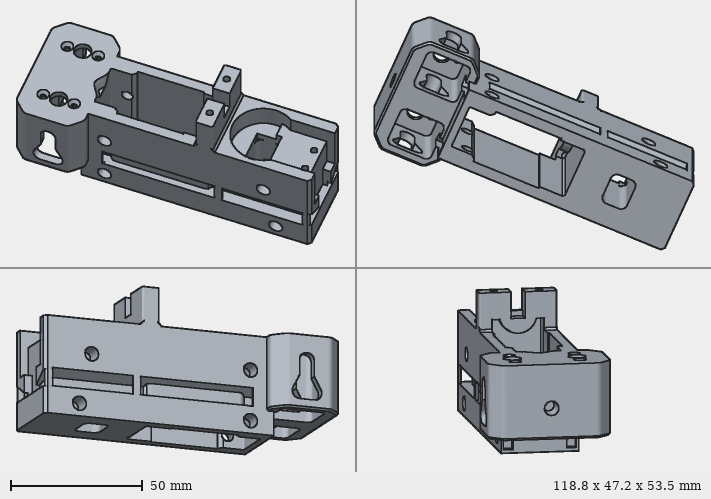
import cadquery as cq
import math

LENGTH = 118.75
BODY_START = 25.1
BODY_WIDTH = 30.0
BODY_TOP = 38.5
BODY_HALF = BODY_WIDTH / 2
BODY_END_CHAMFER = 1.25

HEAD_LENGTH = 28.0
HEAD_WIDTH = 47.2
HEAD_HEIGHT = 29.0
HEAD_BOTTOM = BODY_TOP - HEAD_HEIGHT
HEAD_CORNER = 5.0
HEAD_CORNER_RADIUS = 3.0
HEAD_BOTTOM_CHAMFER = 0.8

HEAD_HOLE_X = 14.95
HEAD_HOLE_Y = 12.5
WIRE_HOLE_DIA = 6.75
SCREW_SPACING = 12.6
SCREW_DIA = 2.2
SCREW_HEAD_DIA = 4.6
SCREW_HEAD_DEPTH = 1.5

POCKET_LENGTH = 18.0
POCKET_WIDTH = 15.6
POCKET_TOP = 36.0
POCKET_RADIUS = 2.2
POCKET_END = HEAD_HOLE_X + POCKET_LENGTH / 2

KEYHOLE_TOP = 31.5
KEYHOLE_BOTTOM = 13.2
KEYHOLE_RADIUS = 3.0
KEYHOLE_HALF_WIDTH = 6.0
KEYHOLE_NECK_BOTTOM = 22.4

INSERT_MOUTH_DIA = 5.5
INSERT_TIP_DIA = 4.4
INSERT_DEPTH = 7.0
HEAD_INSERT_Z = 21.5
SIDE_INSERTS = [
    (34.6, 24.9),
    (34.6, 5.0),
    (99.5, 24.9),
    (104.5, 5.0),
]

CAVITY_END = 75.4
CAVITY_NARROW_HALF = 8.65
CAVITY_NARROW_END = 36.5
CAVITY_WIDE_HALF = 10.85
CAVITY_WIDE_START = 38.1
CAVITY_WIDE_STEP = 0.75
CAVITY_WIDE_END = 65.2
CAVITY_REAR_HALF = 10.15
CAVITY_END_CHAMFER = 0.75
CAVITY_CORNER_RADIUS = 0.5

SCOOP_HALF_WIDTH = 6.5
SCOOP_REACH = 3.3
SCOOP_SHOULDER = (1.4, 3.7)
SCOOP_DEPTH = 4.0
SCOOP_FLOOR_SCALE = 0.45

TOWER_START = 71.8
TOWER_END = 78.8
TOWER_TOP = 53.5
TOWER_EDGE_RADIUS = 0.8
FLARE_RUN = 0.9
SADDLE_WIDTH = 5.4
SADDLE_FRONT_Z = 43.3
SADDLE_REAR_Z = 45.4
SADDLE_STEP_X = 76.9
TOWER_HOLE_X = 75.2
TOWER_HOLE_Y = 8.8
TOWER_HOLE_DIA = 2.6
TOWER_HOLE_DEPTH = 10.0
RECESS_TOP = 43.1
TONGUE_RADIUS = 7.25
TONGUE_CENTER_Z = 44.8

BAY_X = 93.6
BAY_RADIUS = 12.6
BAY_HALF = 10.45
BAY_FLOOR = 32.0
BAY_WELL_FLOOR = 29.5
BAY_WELL_END = 96.5
BAY_WINDOW_START = 88.65
BAY_WINDOW_END = 98.7
BAY_WINDOW_HALF = 6.25
BAY_WINDOW_BOTTOM = 26.5
BAY_WINDOW_RADIUS = 2.5
BAY_HOLE_X = 112.5
BAY_HOLE_Y = 4.65
BAY_HOLE_DIA = 2.5
BAY_HOLE_DEPTH = 8.0
END_NOTCH_START = 115.4
END_NOTCH_HALF = 6.25
END_SHELF_Z = 20.0

CHANNEL_INNER = 10.4
CHANNEL_OUTER = 14.1
CHANNEL_FLOOR = 10.8
CHANNEL_TOP = 18.0
ROOF_SLOPE = math.tan(math.radians(30))
WINDOW_SPANS = [(33.5, 79.5), (82.5, 115.5)]
BULGE_Y = 12.2
BULGE_START = 35.4
BULGE_FLAT_START = 38.3
BULGE_FLAT_END = 74.0
BULGE_END = 76.6
BULGE_STEP = 0.85
BULGE_SHOULDER_Y = 11.4
BULGE_REAR_SHOULDER_Y = 11.9
MOUTH_RADIUS = 6.45
MOUTH_BOTTOM = 1.4
EXIT_START = 112.6
EXIT_RADIUS = 4.7

CLEAR = 1.0


def box(x0, x1, y0, y1, z0, z1):
    """Box between the given limits."""
    return cq.Workplane("XY").box(x1 - x0, y1 - y0, z1 - z0, centered=False).translate((x0, y0, z0))


def both_sides(shape):
    """The shape together with its mirror image across the XZ plane."""
    return shape.union(shape.mirror("XZ"))


def cylinder_z(x, y, z0, z1, diameter):
    """Upright cylinder between two heights."""
    return cq.Workplane("XY", origin=(x, y, z0)).circle(diameter / 2).extrude(z1 - z0)


def insert_hole(point, direction):
    """Tapered blind hole entering the part at point."""
    solid = cq.Solid.makeCone(
        INSERT_MOUTH_DIA / 2, INSERT_TIP_DIA / 2, INSERT_DEPTH, cq.Vector(*point), cq.Vector(*direction)
    )
    return cq.Workplane(solid)


def make_body():
    body = box(BODY_START, LENGTH, -BODY_HALF, BODY_HALF, 0, BODY_TOP)
    return body.edges("|Z and >X").chamfer(BODY_END_CHAMFER)


def make_head():
    head = box(0, HEAD_LENGTH, -HEAD_WIDTH / 2, HEAD_WIDTH / 2, HEAD_BOTTOM, BODY_TOP)
    head = head.edges("|Z").chamfer(HEAD_CORNER)
    head = head.edges("|Z").fillet(HEAD_CORNER_RADIUS)
    return head.faces("<Z").chamfer(HEAD_BOTTOM_CHAMFER)


def make_tower():
    tower = box(TOWER_START, TOWER_END, -BODY_HALF, BODY_HALF, BODY_TOP - CLEAR, TOWER_TOP)
    tower = tower.edges("|Z").fillet(TOWER_EDGE_RADIUS)
    flare_rise = FLARE_RUN + TOWER_EDGE_RADIUS
    flare = (
        cq.Workplane("XZ", origin=(0, BODY_HALF, 0))
        .moveTo(TOWER_START - FLARE_RUN, BODY_TOP)
        .lineTo(TOWER_START + TOWER_EDGE_RADIUS, BODY_TOP + flare_rise)
        .lineTo(TOWER_END - TOWER_EDGE_RADIUS, BODY_TOP + flare_rise)
        .lineTo(TOWER_END + FLARE_RUN, BODY_TOP)
        .close()
        .extrude(BODY_WIDTH)
    )
    return tower.union(flare)


def tower_cuts():
    """Stepped saddle between the two posts and a screw hole down each post."""
    half = SADDLE_WIDTH / 2
    cuts = box(TOWER_START - CLEAR, SADDLE_STEP_X, -half, half, SADDLE_FRONT_Z, TOWER_TOP + CLEAR)
    cuts = cuts.union(box(SADDLE_STEP_X, TOWER_END + CLEAR, -half, half, SADDLE_REAR_Z, TOWER_TOP + CLEAR))
    hole = cylinder_z(TOWER_HOLE_X, TOWER_HOLE_Y, TOWER_TOP - TOWER_HOLE_DEPTH, TOWER_TOP, TOWER_HOLE_DIA)
    return cuts.union(both_sides(hole))


def cavity_cut():
    """Open cavity that runs under the tower, where a round tongue hangs into it."""
    upper = [
        (HEAD_LENGTH, CAVITY_NARROW_HALF),
        (CAVITY_NARROW_END, CAVITY_NARROW_HALF),
        (CAVITY_WIDE_START, CAVITY_WIDE_HALF - CAVITY_WIDE_STEP),
        (CAVITY_WIDE_START, CAVITY_WIDE_HALF),
        (CAVITY_WIDE_END, CAVITY_WIDE_HALF),
        (CAVITY_WIDE_END, CAVITY_REAR_HALF),
        (CAVITY_END - CAVITY_END_CHAMFER, CAVITY_REAR_HALF),
        (CAVITY_END, CAVITY_REAR_HALF - CAVITY_END_CHAMFER),
    ]
    lower = [(x, -y) for x, y in reversed(upper)]
    cavity = cq.Workplane("XY").polyline(upper + lower).close().extrude(RECESS_TOP)
    cavity = cavity.edges("|Z and <X").fillet(CAVITY_CORNER_RADIUS)
    tongue = (
        cq.Workplane("YZ", origin=(TOWER_START, 0, 0))
        .center(0, TONGUE_CENTER_Z)
        .circle(TONGUE_RADIUS)
        .extrude(TOWER_END - TOWER_START)
    )
    return cavity.cut(tongue)


def scoop_cut():
    """Bell-shaped scoop that narrows downwards from the top edge of the head."""

    def outline(workplane, scale):
        shoulder_run, shoulder_half = SCOOP_SHOULDER
        points = [
            (HEAD_LENGTH - shoulder_run * scale, shoulder_half * scale),
            (HEAD_LENGTH - SCOOP_REACH * scale, 0),
            (HEAD_LENGTH - shoulder_run * scale, -shoulder_half * scale),
            (HEAD_LENGTH, -SCOOP_HALF_WIDTH * scale),
        ]
        start = workplane.moveTo(HEAD_LENGTH, SCOOP_HALF_WIDTH * scale)
        return start.spline(points, includeCurrent=True).close()

    top = outline(cq.Workplane("XY", origin=(0, 0, BODY_TOP)), 1.0)
    return outline(top.workplane(offset=-SCOOP_DEPTH), SCOOP_FLOOR_SCALE).loft(ruled=True)


def keyhole_cut():
    lobe_x = KEYHOLE_HALF_WIDTH - KEYHOLE_RADIUS
    lobe_z = KEYHOLE_BOTTOM + KEYHOLE_RADIUS
    tangent = math.acos(KEYHOLE_RADIUS / (KEYHOLE_NECK_BOTTOM - lobe_z))
    flank_x = lobe_x + KEYHOLE_RADIUS * math.sin(tangent)
    flank_z = lobe_z + KEYHOLE_RADIUS * math.cos(tangent)
    middle = (tangent + math.pi) / 2
    middle_x = lobe_x + KEYHOLE_RADIUS * math.sin(middle)
    middle_z = lobe_z + KEYHOLE_RADIUS * math.cos(middle)
    neck_top = KEYHOLE_TOP - KEYHOLE_RADIUS
    return (
        cq.Workplane("XZ", origin=(HEAD_HOLE_X, 0, 0))
        .moveTo(-lobe_x, KEYHOLE_BOTTOM)
        .lineTo(lobe_x, KEYHOLE_BOTTOM)
        .threePointArc((middle_x, middle_z), (flank_x, flank_z))
        .lineTo(KEYHOLE_RADIUS, KEYHOLE_NECK_BOTTOM)
        .lineTo(KEYHOLE_RADIUS, neck_top)
        .threePointArc((0, KEYHOLE_TOP), (-KEYHOLE_RADIUS, neck_top))
        .lineTo(-KEYHOLE_RADIUS, KEYHOLE_NECK_BOTTOM)
        .lineTo(-flank_x, flank_z)
        .threePointArc((-middle_x, middle_z), (-lobe_x, KEYHOLE_BOTTOM))
        .close()
        .extrude(HEAD_WIDTH / 2, both=True)
    )


def head_holes():
    """Wire holes, each flanked by two countersunk screw holes."""
    holes = cylinder_z(HEAD_HOLE_X, HEAD_HOLE_Y, 0, BODY_TOP, WIRE_HOLE_DIA)
    for side in (-1, 1):
        x = HEAD_HOLE_X + side * SCREW_SPACING / 2
        holes = holes.union(cylinder_z(x, HEAD_HOLE_Y, HEAD_BOTTOM, BODY_TOP, SCREW_DIA))
        countersink = cq.Solid.makeCone(
            SCREW_HEAD_DIA / 2,
            SCREW_DIA / 2,
            SCREW_HEAD_DEPTH,
            cq.Vector(x, HEAD_HOLE_Y, BODY_TOP),
            cq.Vector(0, 0, -1),
        )
        holes = holes.union(cq.Workplane(countersink))
    return both_sides(holes)


def head_pockets():
    pocket = cq.Workplane("XY", origin=(HEAD_HOLE_X, HEAD_HOLE_Y, 0)).rect(POCKET_LENGTH, POCKET_WIDTH)
    return both_sides(pocket.extrude(POCKET_TOP).edges("|Z").fillet(POCKET_RADIUS))


def insert_holes():
    holes = insert_hole((0, 0, HEAD_INSERT_Z), (1, 0, 0))
    for x, z in SIDE_INSERTS:
        holes = holes.union(both_sides(insert_hole((x, -BODY_HALF, z), (0, 1, 0))))
    return holes


def bay_cut():
    """Rear bay: flat floor, sunken round well, window through the floor and an open end."""
    above = BODY_TOP + CLEAR
    round_bay = cylinder_z(BAY_X, 0, BAY_FLOOR, BODY_TOP, 2 * BAY_RADIUS)
    well = cylinder_z(BAY_X, 0, BAY_WELL_FLOOR, BODY_TOP, 2 * BAY_RADIUS)
    well = well.intersect(box(BAY_X - BAY_RADIUS, BAY_WELL_END, -BAY_RADIUS, BAY_RADIUS, 0, BODY_TOP))
    cut = round_bay.union(well)
    cut = cut.union(box(BAY_X, LENGTH, -BAY_HALF, BAY_HALF, BAY_FLOOR, above))
    window = (BAY_WINDOW_START, BAY_WINDOW_END, -BAY_WINDOW_HALF, BAY_WINDOW_HALF)
    cut = cut.union(box(*window, BAY_WINDOW_BOTTOM, BAY_FLOOR))
    cut = cut.union(box(*window, 0, BAY_FLOOR).edges("|Z").fillet(BAY_WINDOW_RADIUS))
    cut = cut.union(box(END_NOTCH_START, LENGTH, -BAY_HALF, BAY_HALF, END_SHELF_Z, above))
    cut = cut.union(box(END_NOTCH_START, LENGTH, -END_NOTCH_HALF, END_NOTCH_HALF, CHANNEL_FLOOR, above))
    hole = cylinder_z(BAY_HOLE_X, BAY_HOLE_Y, BAY_FLOOR - BAY_HOLE_DEPTH, BAY_FLOOR, BAY_HOLE_DIA)
    return cut.union(both_sides(hole))


def channel_run():
    """Straight run of a wire channel from the head pocket to the end notch, under a sloping roof."""
    exit_angle = math.acos(1 - (CHANNEL_INNER - END_NOTCH_HALF) / EXIT_RADIUS)
    exit_center_y = CHANNEL_INNER - EXIT_RADIUS

    def on_exit(angle):
        return (EXIT_START + EXIT_RADIUS * math.sin(angle), exit_center_y + EXIT_RADIUS * math.cos(angle))

    plan = (
        cq.Workplane("XY")
        .moveTo(POCKET_END, CHANNEL_OUTER)
        .lineTo(POCKET_END, CHANNEL_INNER)
        .lineTo(BULGE_START, CHANNEL_INNER)
        .lineTo(BULGE_START + BULGE_STEP, BULGE_SHOULDER_Y)
        .tangentArcPoint((BULGE_FLAT_START, BULGE_Y), relative=False)
        .lineTo(BULGE_FLAT_END, BULGE_Y)
        .lineTo(BULGE_END - BULGE_STEP, BULGE_REAR_SHOULDER_Y)
        .lineTo(BULGE_END, CHANNEL_INNER)
        .lineTo(EXIT_START, CHANNEL_INNER)
        .threePointArc(on_exit(exit_angle / 2), on_exit(exit_angle))
        .lineTo(LENGTH, END_NOTCH_HALF)
        .lineTo(LENGTH, CHANNEL_OUTER)
        .close()
        .extrude(BODY_TOP)
    )
    for x0, x1 in WINDOW_SPANS:
        plan = plan.union(box(x0, x1, CHANNEL_OUTER, BODY_HALF, 0, BODY_TOP))
    roof = (
        cq.Workplane("YZ")
        .moveTo(0, CHANNEL_FLOOR)
        .lineTo(BODY_HALF, CHANNEL_FLOOR)
        .lineTo(BODY_HALF, CHANNEL_TOP)
        .lineTo(0, CHANNEL_TOP - BODY_HALF * ROOF_SLOPE)
        .close()
        .extrude(LENGTH)
    )
    return plan.intersect(roof)


def channel_mouth():
    """Rounded drop in the channel floor that opens through the front face of the body, below the head."""
    round_end = HEAD_LENGTH + MOUTH_RADIUS
    center_z = CHANNEL_FLOOR - MOUTH_RADIUS
    diagonal = MOUTH_RADIUS * math.sqrt(0.5)
    return (
        cq.Workplane("XZ", origin=(0, CHANNEL_OUTER, 0))
        .moveTo(POCKET_END, MOUTH_BOTTOM)
        .lineTo(HEAD_LENGTH, MOUTH_BOTTOM)
        .lineTo(HEAD_LENGTH, center_z)
        .threePointArc((round_end - diagonal, center_z + diagonal), (round_end, CHANNEL_FLOOR))
        .lineTo(POCKET_END, CHANNEL_FLOOR)
        .close()
        .extrude(CHANNEL_OUTER - CHANNEL_INNER)
    )


result = make_body().union(make_head()).union(make_tower())
result = result.cut(cavity_cut()).cut(scoop_cut()).cut(tower_cuts())
result = result.cut(head_pockets()).cut(keyhole_cut()).cut(head_holes()).cut(insert_holes())
result = result.cut(bay_cut())
result = result.cut(both_sides(channel_run())).cut(both_sides(channel_mouth()))